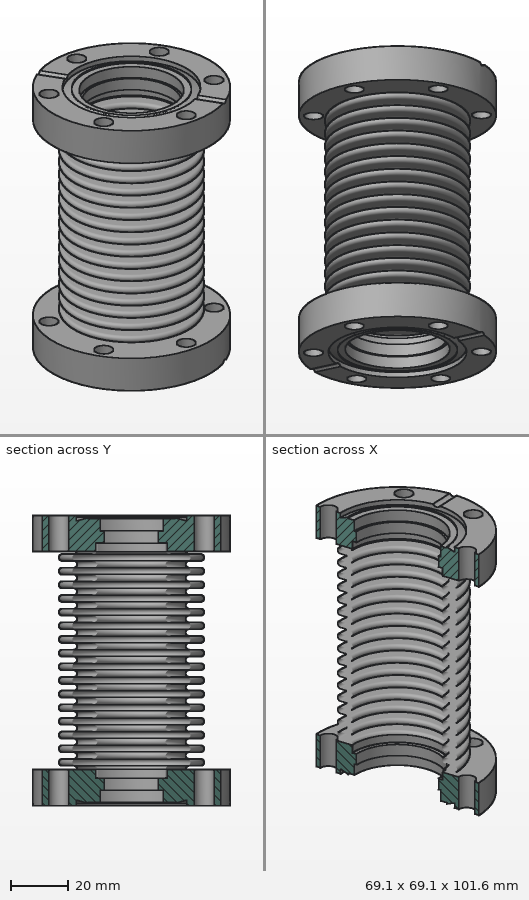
import cadquery as cq
import math


overall_length = 101.57
flange_thickness = 12.7
flange_diameter = 69.09

bolt_count = 6
bolt_hole_diameter = 6.73
bolt_circle_diameter = 58.72
first_bolt_angle = 90
groove_width = 3.0
groove_depth = 0.75

recess_diameter = 48.31
knife_diameter = 41.91
knife_depth = 0.7
knife_height = 0.47
knife_slope = 20
entry_diameter = 36.58
entry_depth = 5.4
lip_diameter = 34.8
lip_end_depth = 9.7
socket_diameter = 38.35

wall = 0.127
collar_diameter = 38.1
crest_diameter = 51.0
convolution_count = 16
pitch = 4.777
top_root_inset = 0.35

sealing_face = overall_length / 2
inner_face = sealing_face - flange_thickness
socket_floor = sealing_face - lip_end_depth
top_root = inner_face + top_root_inset
bottom_root = top_root - convolution_count * pitch
DIAGONAL = math.sqrt(0.5)


def make_upper_flange():
    """Flange with its sealing face up and the bellows socket underneath."""
    body = make_flange_blank()
    body = body.cut(make_bolt_cutters())
    return body.cut(make_groove_cutter())


def make_flange_blank():
    """Turned ring: recess, knife edge, stepped bore and socket."""
    flange_radius = flange_diameter / 2
    recess_radius = recess_diameter / 2
    knife_radius = knife_diameter / 2
    entry_radius = entry_diameter / 2
    lip_radius = lip_diameter / 2
    socket_radius = socket_diameter / 2
    knife_tip = sealing_face - knife_depth
    seat_floor = knife_tip - knife_height
    recess_floor = knife_tip - (recess_radius - knife_radius) * math.tan(math.radians(knife_slope))
    lip_top = sealing_face - entry_depth
    section = (
        cq.Workplane("XZ")
        .moveTo(flange_radius, inner_face)
        .lineTo(flange_radius, sealing_face)
        .lineTo(recess_radius, sealing_face)
        .lineTo(recess_radius, recess_floor)
        .lineTo(knife_radius, knife_tip)
        .lineTo(knife_radius, seat_floor)
        .lineTo(entry_radius, seat_floor)
        .lineTo(entry_radius, lip_top)
        .lineTo(lip_radius, lip_top)
        .lineTo(lip_radius, socket_floor)
        .lineTo(socket_radius, socket_floor)
        .lineTo(socket_radius, inner_face)
        .close()
    )
    return section.revolve(360, (0, 0, 0), (0, 1, 0))


def make_bolt_cutters():
    return (
        cq.Workplane("XY")
        .workplane(offset=inner_face)
        .polarArray(bolt_circle_diameter / 2, first_bolt_angle, 360, bolt_count)
        .circle(bolt_hole_diameter / 2)
        .extrude(flange_thickness)
    )


def make_groove_cutter():
    """Round-bottomed groove along X, sized by its chord width and depth at the sealing face."""
    groove_radius = ((groove_width / 2) ** 2 + groove_depth**2) / (2 * groove_depth)
    return (
        cq.Workplane("YZ")
        .center(0, sealing_face - groove_depth + groove_radius)
        .circle(groove_radius)
        .extrude(flange_diameter / 2, both=True)
    )


def add_convolution(section, start, direction, root_radius, crest_radius, root_bend, crest_bend):
    """Continue the section from one root over a crest to the next root, up (+1) or down (-1)."""
    crest = start + direction * pitch / 2
    end = start + direction * pitch
    root_rise = direction * root_bend
    crest_rise = direction * crest_bend
    root_outer = root_radius + root_bend
    crest_inner = crest_radius - crest_bend
    bend_middle = root_outer - root_bend * DIAGONAL
    return (
        section
        .threePointArc((bend_middle, start + root_rise * DIAGONAL), (root_outer, start + root_rise))
        .lineTo(crest_inner, crest - crest_rise)
        .threePointArc((crest_radius, crest), (crest_inner, crest + crest_rise))
        .lineTo(root_outer, end - root_rise)
        .threePointArc((bend_middle, end - root_rise * DIAGONAL), (root_radius, end))
    )


def make_bellows():
    """Thin convoluted tube whose straight collars reach the socket floors of both flanges."""
    outer_root = collar_diameter / 2
    inner_root = outer_root - wall
    outer_crest = crest_diameter / 2
    inner_crest = outer_crest - wall
    tight_bend = pitch / 4 - wall / 2
    wide_bend = pitch / 4 + wall / 2

    section = cq.Workplane("XZ").moveTo(outer_root, -socket_floor).lineTo(outer_root, bottom_root)
    for index in range(convolution_count):
        start = bottom_root + index * pitch
        section = add_convolution(section, start, 1, outer_root, outer_crest, tight_bend, wide_bend)
    section = (
        section
        .lineTo(outer_root, socket_floor)
        .lineTo(inner_root, socket_floor)
        .lineTo(inner_root, top_root)
    )
    for index in range(convolution_count):
        start = top_root - index * pitch
        section = add_convolution(section, start, -1, inner_root, inner_crest, wide_bend, tight_bend)
    section = section.lineTo(inner_root, -socket_floor).close()
    return section.revolve(360, (0, 0, 0), (0, 1, 0))


upper_flange = make_upper_flange()
lower_flange = upper_flange.mirror("XY")
bellows = make_bellows()

result = cq.Compound.makeCompound([upper_flange.val(), lower_flange.val(), bellows.val()])